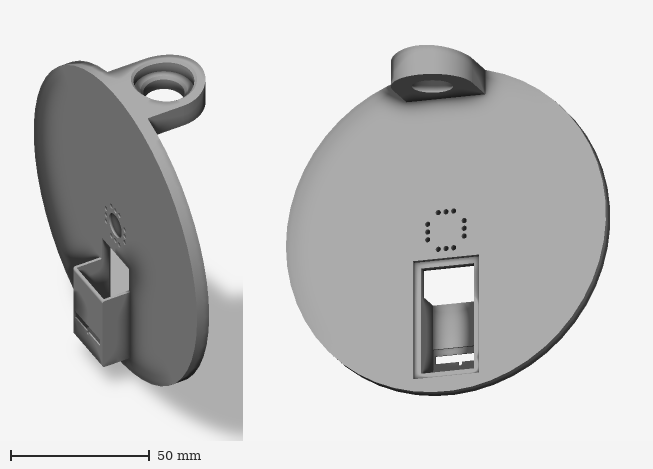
import cadquery as cq
import math

plate_radius = 61.0
plate_thickness = 5.0

lug_half_width = 15.0
lug_reach = plate_thickness + lug_half_width
lug_bottom = 49.9
bore_radius = 7.5
bearing_radius = 11.0
bearing_floor = 55.3
lug_chamfer = 1.0
rim_clearance = 0.2

recess_radius = 4.8
recess_depth = 1.0
small_hole_diameter = 2.0
row_offset = 7.0
hole_pitch = 2.9

box_width = 22.5
box_depth = 11.5
box_top = -22.9
box_bottom = -53.8
box_wall = 1.1
box_fillet = 1.0

window_width = box_width - 2 * box_wall
window_top = -12.9
window_bottom = box_bottom + box_wall

relief_depth = 2.0
relief_margin = 2.5

slot_width = 18.8
slot_top = -42.1
slot_bottom = -45.0
notch_radius = 0.6
notch_bottom = -46.4

thin_wall = 0.5
thin_margin = 2.5


def block(width, y_front, y_back, z_bottom, z_top):
    """Rectangular block centred on X = 0."""
    return cq.Workplane("XY").box(
        width, y_back - y_front, z_top - z_bottom, centered=(True, False, False)
    ).translate((0, y_front, z_bottom))


def disc(radius, y_front, y_back, x=0, z=0):
    """Cylinder along Y."""
    return cq.Workplane("XZ", origin=(x, y_front, z)).circle(radius).extrude(y_front - y_back)


def post(radius, z_bottom, z_top):
    """Vertical cylinder on the bearing axis."""
    return cq.Workplane("XY", origin=(0, lug_reach, z_bottom)).circle(radius).extrude(z_top - z_bottom)


def rim_selector(radius, z_bottom, z_top):
    """Selector for the edges of a hole's rim on the bearing axis."""
    reach = radius + rim_clearance
    return cq.selectors.BoxSelector(
        (-reach, lug_reach - reach, z_bottom - rim_clearance),
        (reach, lug_reach + reach, z_top + rim_clearance),
        boundingbox=True,
    )


def make_lug():
    """Round-ended lug with a chamfered, stepped bearing bore."""
    lug = block(2 * lug_half_width, 0, lug_reach, lug_bottom, plate_radius)
    lug = lug.union(post(lug_half_width, lug_bottom, plate_radius))
    lug = lug.intersect(disc(plate_radius, 0, lug_reach + lug_half_width))
    lug = lug.cut(post(bore_radius, lug_bottom, plate_radius))
    lug = lug.cut(post(bearing_radius, bearing_floor, plate_radius))
    lug = lug.edges(rim_selector(bore_radius, bearing_floor, bearing_floor)).chamfer(lug_chamfer)
    saddle_bottom = math.sqrt(plate_radius**2 - bearing_radius**2)
    bearing_rim = rim_selector(bearing_radius, saddle_bottom, plate_radius)
    return lug.edges(bearing_rim).chamfer(lug_chamfer)


def make_plate():
    """Plate with its recess, small holes and window, joined to the bearing lug."""
    plate = disc(plate_radius, 0, plate_thickness)
    plate = plate.cut(disc(recess_radius, 0, recess_depth))
    plate = plate.cut(block(window_width, 0, plate_thickness, window_bottom, window_top))
    plate = plate.cut(block(
        window_width + 2 * relief_margin, plate_thickness - relief_depth, plate_thickness,
        window_bottom - relief_margin, window_top + relief_margin,
    ))
    for side in (-row_offset, row_offset):
        for along in (-hole_pitch, 0, hole_pitch):
            for x, z in ((side, along), (along, side)):
                plate = plate.cut(disc(small_hole_diameter / 2, 0, plate_thickness, x, z))
    return plate.union(make_lug())


def make_box():
    """Cover open at the top and back, with rounded front edges except at +X."""
    box = block(box_width, -box_depth, 0, box_bottom, box_top)
    front_edges = box.faces("<Y").edges("|X or <X")
    box = front_edges.fillet(box_fillet)
    inner_front = -box_depth + box_wall
    box = box.cut(block(window_width, inner_front, 0, window_bottom, box_top))
    box = box.cut(block(
        window_width, thin_wall - box_depth, inner_front,
        slot_bottom - thin_margin, slot_top + thin_margin,
    ))
    box = box.cut(block(slot_width, -box_depth, inner_front, slot_bottom, slot_top))
    notch_centre = notch_bottom + notch_radius
    box = box.cut(block(2 * notch_radius, -box_depth, inner_front, notch_centre, slot_bottom))
    return box.cut(disc(notch_radius, -box_depth, inner_front, z=notch_centre))


plate = make_plate()
box = make_box()
result = cq.Compound.makeCompound([plate.val(), box.val()])